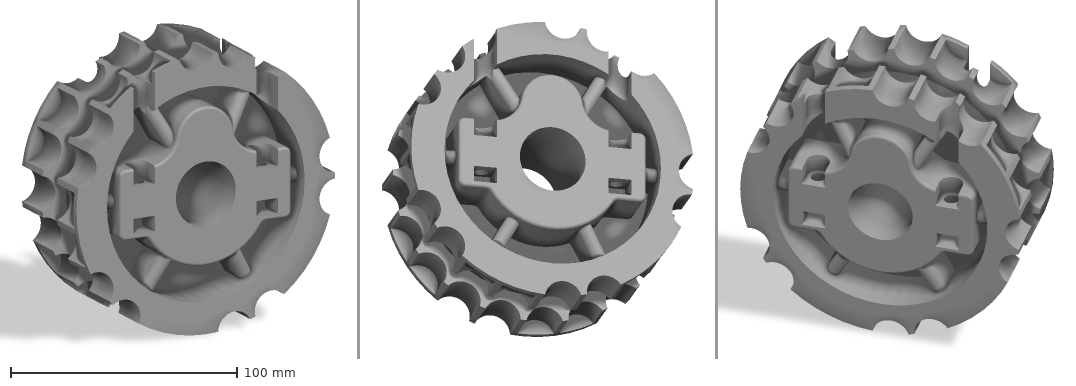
import cadquery as cq
import math


outer_diameter = 129.0
width = 53.0
rim_inner_diameter = 98.7
groove_width = 13.8
groove_diameter = 105.0

gap_count = 21
gap_radius = 8.5
gap_centre_radius = 66.0
gap_end_wall = 3.0
open_gap_index = 5

web_thickness = 6.2
rib_count = 6
rib_thickness = 6.5
rib_nose_x = 16.1
rib_slope = 10.0
rib_start_radius = 20.6

bore_diameter = 29.9
block_width = 85.4
block_height = 32.4
block_corner_radius = 3.0
hub_bottom_radius = 32.9
lobe_radius = 14.0
lobe_centre_z = 26.0
root_radius = 14.0
hub_edge_fillet = 1.3

screw_y = 30.7
screw_inset = 7.1
screw_hole_diameter = 6.5
slot_width = 10.6
head_seat_z = 8.0
nut_slot_top_z = -6.6
nut_slot_bottom_z = -13.8

outer_radius = outer_diameter / 2
gap_pitch = 360 / gap_count
web_diameter = (rim_inner_diameter + groove_diameter) / 2
screw_x = width / 2 - screw_inset


def disc(diameter, length):
    """Cylinder on the X axis, centred on the origin."""
    return cq.Workplane("YZ", origin=(-length / 2, 0, 0)).circle(diameter / 2).extrude(length)


def box_between(low, high):
    """Box from its lowest to its highest corner."""
    sizes = [b - a for a, b in zip(low, high)]
    return cq.Workplane("XY").box(*sizes, centered=False).translate(low)


def half_space(sign):
    """Box that covers one side of the split plane."""
    box = cq.Workplane("XY").box(2 * width, 2 * outer_diameter, outer_diameter)
    return box.translate((0, 0, sign * outer_diameter / 2))


def make_rim():
    """Ring with a groove around its middle."""
    groove = disc(outer_diameter, groove_width).cut(disc(groove_diameter, groove_width))
    return disc(outer_diameter, width).cut(disc(rim_inner_diameter, width)).cut(groove)


def gap_cutter(steps):
    """Tooth gap a number of pitches after the gap that is open at both ends."""
    x_low = -width / 2
    x_high = width / 2
    if steps > 0:
        pair = (steps - 1) // 2
        if pair % 2 == 0:
            x_low += gap_end_wall
        else:
            x_high -= gap_end_wall
    angle = math.radians((open_gap_index + steps) * gap_pitch)
    centre_y = -gap_centre_radius * math.cos(angle)
    centre_z = gap_centre_radius * math.sin(angle)
    gap = cq.Workplane("YZ", origin=(x_low, centre_y, centre_z)).circle(gap_radius)
    return gap.extrude(x_high - x_low)


def rib_axis_x(radius):
    """Distance of the rib's nose axis from the web's middle plane at a radius."""
    return rib_nose_x + (rim_inner_diameter / 2 - radius) * math.tan(math.radians(rib_slope))


def make_rib():
    """Flat-sided rib along +Z with a round nose towards each face."""
    rib_end_radius = web_diameter / 2
    start_x = rib_axis_x(rib_start_radius)
    end_x = rib_axis_x(rib_end_radius)
    outline = [
        (-start_x, rib_start_radius),
        (start_x, rib_start_radius),
        (end_x, rib_end_radius),
        (-end_x, rib_end_radius),
    ]
    body = cq.Workplane("XZ", origin=(0, rib_thickness / 2, 0)).polyline(outline).close()
    rib = body.extrude(rib_thickness)
    for side in (-1, 1):
        nose = cq.Solid.makeCylinder(
            rib_thickness / 2,
            math.hypot(start_x - end_x, rib_end_radius - rib_start_radius),
            cq.Vector(side * start_x, 0, rib_start_radius),
            cq.Vector(side * (end_x - start_x), 0, rib_end_radius - rib_start_radius),
        )
        rib = rib.union(cq.Workplane(nose))
    return rib


def make_web():
    """Disc that fills the rim, with radial ribs on both faces."""
    web = disc(web_diameter, web_thickness)
    rib = make_rib()
    for i in range(rib_count):
        web = web.union(rib.rotate((0, 0, 0), (1, 0, 0), 90 + i * 360 / rib_count))
    return web


def make_hub_lobe():
    """Round lobe on top of the hub block, joined to it by a tangent root arc on each side."""
    half_height = block_height / 2
    root_centre_z = half_height + root_radius
    lift = math.asin((root_centre_z - lobe_centre_z) / (lobe_radius + root_radius))
    root_y = (lobe_radius + root_radius) * math.cos(lift)
    join_y = lobe_radius * math.cos(lift)
    join_z = lobe_centre_z + lobe_radius * math.sin(lift)
    middle = (math.pi / 2 + lift) / 2
    root_middle_y = root_y - root_radius * math.sin(middle)
    root_middle_z = root_centre_z - root_radius * math.cos(middle)
    return (
        cq.Workplane("YZ", origin=(-width / 2, 0, 0))
        .moveTo(-root_y, 0)
        .lineTo(-root_y, half_height)
        .threePointArc((-root_middle_y, root_middle_z), (-join_y, join_z))
        .threePointArc((0, lobe_centre_z + lobe_radius), (join_y, join_z))
        .threePointArc((root_middle_y, root_middle_z), (root_y, half_height))
        .lineTo(root_y, 0)
        .close()
        .extrude(width)
    )


def make_hub():
    """Block with a round lobe above and a round belly below, with rounded end edges."""
    half_height = block_height / 2
    block = cq.Workplane("YZ", origin=(-width / 2, 0, 0)).rect(block_width, block_height).extrude(width)
    block = block.edges("|X").fillet(block_corner_radius)
    belly = disc(2 * hub_bottom_radius, width).cut(half_space(1))
    hub = block.union(belly)

    belly_y = math.sqrt(hub_bottom_radius**2 - half_height**2)
    for y in (-belly_y, belly_y):
        hub = hub.edges(cq.NearestToPointSelector((0, y, -half_height))).fillet(block_corner_radius)

    hub = hub.union(make_hub_lobe()).clean()
    return hub.faces("<X or >X").edges().fillet(hub_edge_fillet)


def slot_box(inner_x, bottom_z, top_z):
    """Slot at the +X, +Y screw, from a flat inner end out through the +X face."""
    half_slot = slot_width / 2
    return box_between(
        (inner_x, screw_y - half_slot, bottom_z),
        (width, screw_y + half_slot, top_z),
    )


def upright_cylinder(diameter, bottom_z, top_z):
    """Upright cylinder on the axis of the +X, +Y screw."""
    base = cq.Workplane("XY", origin=(screw_x, screw_y, bottom_z))
    return base.circle(diameter / 2).extrude(top_z - bottom_z)


def screw_cutters():
    """Head slot, nut slot and screw hole at the four screws."""
    head_slot = slot_box(screw_x, head_seat_z, outer_radius)
    head_slot = head_slot.union(upright_cylinder(slot_width, head_seat_z, outer_radius))
    nut_slot = slot_box(screw_x - slot_width / 2, nut_slot_bottom_z, nut_slot_top_z)
    hole = upright_cylinder(screw_hole_diameter, nut_slot_bottom_z, head_seat_z)
    cutter = head_slot.union(nut_slot).union(hole)
    side_pair = cutter.union(cutter.mirror("XZ"))
    return side_pair.union(side_pair.mirror("YZ"))


def make_wheel():
    """Whole wheel before it is split."""
    wheel = make_rim().union(make_web()).union(make_hub())
    wheel = wheel.cut(disc(bore_diameter, width))
    for steps in range(gap_count):
        wheel = wheel.cut(gap_cutter(steps))
    return wheel.cut(screw_cutters())


wheel = make_wheel()
upper_half = wheel.intersect(half_space(1))
lower_half = wheel.intersect(half_space(-1))

result = cq.Compound.makeCompound([upper_half.solids().val(), lower_half.solids().val()])